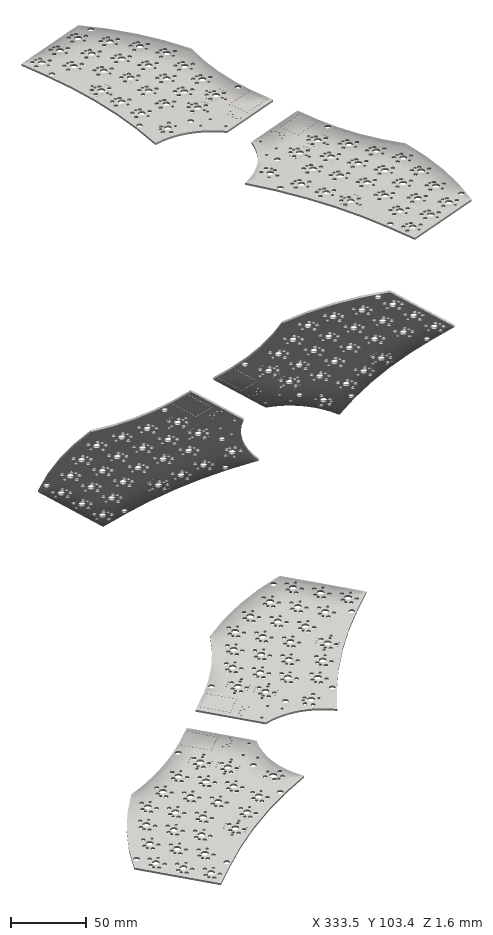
import cadquery as cq
import math


TOTAL_WIDTH = 333.5
THICKNESS = 1.6
INNER_X = 10.5
OUTER_X = TOTAL_WIDTH / 2
PEAK = (90.7, 51.7)
INNER_TIP = (38.0, -51.7)
OUTER_TOP_Y = 26.7
OUTER_BOTTOM_Y = -33.0
INNER_TOP_Y = 37.7
INNER_BOTTOM_Y = -10.7
TOP_STRAIGHT_END_X = 28.0
BOTTOM_STRAIGHT_END_X = 146.0
OUTER_TOP_BULGE = (128.7, 43.5)
INNER_TOP_BULGE = (60.0, 41.7)
THUMB_NOTCH_BULGE = (29.5, -28.0)
BOTTOM_BULGE = (98.0, -36.7)

KEY_PITCH = 19.0
FIRST_COLUMN_X = OUTER_X - KEY_PITCH / 2
COLUMN_TOP_KEY_Y = (14.7, 24.7, 32.7, 37.5, 32.7, 27.7, 18.5)
KEYS_PER_COLUMN = 3
KEYS_IN_INNER_COLUMN = 2
THUMB_ROW_START = (105.7, -24.7)
THUMB_ROW_DROP = 2.5
THUMB_ROW_KEYS = 3
TURNED_KEY = (43.5, -32.0)
TURNED_KEY_ANGLE = 60

GRID = 1.27
CENTRE_HOLE_DIA = 5.0
PIN_HOLE_DIA = 3.0
POST_HOLE_DIA = 2.2
POST_OFFSET = 5.5
PIN_HOLES = ((2 * GRID, 4 * GRID), (-3 * GRID, 2 * GRID), (0, -6.0), (-5.0, -3.7))
POST_HOLES = ((-POST_OFFSET, 0), (POST_OFFSET, 0))

ENCODER_LUG_OFFSET = 8.0
ENCODER_LUG_DIA = 2.2
ENCODER_PIN_DIA = 1.0
ENCODER_PIN_PITCH = 2.5
ENCODER_TOP_Y = 7.5
ENCODER_BOTTOM_Y = -7.5
ENCODER_LUGS = ((-ENCODER_LUG_OFFSET, 0), (ENCODER_LUG_OFFSET, 0))
ENCODER_PINS = (
    (-ENCODER_PIN_PITCH, ENCODER_TOP_Y),
    (0, ENCODER_TOP_Y),
    (ENCODER_PIN_PITCH, ENCODER_TOP_Y),
    (-ENCODER_PIN_PITCH, ENCODER_BOTTOM_Y),
    (ENCODER_PIN_PITCH, ENCODER_BOTTOM_Y),
)

HEADER_PIN_DIA = 0.85
HEADER_PITCH = 2 * GRID
HEADER_CENTRE_X = 21.7
HEADER_BOTTOM_Y = 15.0
HEADER_ROW_PINS = 9
HEADER_GAPS_ACROSS = 6

JACK_PIN_DIA = 1.2
JACK_Y = 7.0
JACK_LINE_SPACING = 2.0
JACK_MIDDLE_X = (13.0, 20.0)
JACK_NEAR_X = (15.0, 18.0, 22.0)
JACK_FAR_X = 23.5

MOUNT_HOLE_DIA = 4.5
MOUNT_HOLES = ((157.0, 28.0), (143.5, -30.0), (59.7, -41.7), (36.7, -16.5), (38.0, 35.0))
PEG_HOLE_DIA = 2.2
PEG_HOLES = ((14.7, -6.7), (28.0, -6.7), (28.0, -16.7))


def on_side(side, points):
    """Points of one half: side is -1 for the left board and +1 for the right board."""
    return [(side * x, y) for x, y in points]


def blank_board(side):
    def at(x, y):
        return (side * x, y)

    return (
        cq.Workplane("XY")
        .moveTo(*at(OUTER_X, OUTER_BOTTOM_Y))
        .lineTo(*at(OUTER_X, OUTER_TOP_Y))
        .threePointArc(at(*OUTER_TOP_BULGE), at(*PEAK))
        .threePointArc(at(*INNER_TOP_BULGE), at(TOP_STRAIGHT_END_X, INNER_TOP_Y))
        .lineTo(*at(INNER_X, INNER_TOP_Y))
        .lineTo(*at(INNER_X, INNER_BOTTOM_Y))
        .threePointArc(at(*THUMB_NOTCH_BULGE), at(*INNER_TIP))
        .threePointArc(at(*BOTTOM_BULGE), at(BOTTOM_STRAIGHT_END_X, OUTER_BOTTOM_Y))
        .close()
        .extrude(THICKNESS)
    )


def column_keys(column, count):
    x = FIRST_COLUMN_X - column * KEY_PITCH
    top = COLUMN_TOP_KEY_Y[column]
    return [(x, top - row * KEY_PITCH) for row in range(count)]


def outer_column_keys():
    keys = []
    for column in range(len(COLUMN_TOP_KEY_Y) - 1):
        keys += column_keys(column, KEYS_PER_COLUMN)
    return keys


def inner_column_keys():
    return column_keys(len(COLUMN_TOP_KEY_Y) - 1, KEYS_IN_INNER_COLUMN)


def thumb_row_keys():
    x, y = THUMB_ROW_START
    return [(x - i * KEY_PITCH, y - i * THUMB_ROW_DROP) for i in range(THUMB_ROW_KEYS)]


def around(centre, offsets, degrees=0):
    """Offsets turned by an angle and placed about a centre."""
    cos = math.cos(math.radians(degrees))
    sin = math.sin(math.radians(degrees))
    return [(centre[0] + x * cos - y * sin, centre[1] + x * sin + y * cos) for x, y in offsets]


def drills(points, diameter):
    """One through-cutting cylinder per point."""
    circles = cq.Workplane("XY").pushPoints(points).circle(diameter / 2)
    return circles.extrude(THICKNESS).vals()


def socket_drills(centre, degrees=0):
    """Holes of one socket, which keeps the same handedness on both boards."""
    cutters = drills([centre], CENTRE_HOLE_DIA)
    cutters += drills(around(centre, PIN_HOLES, degrees), PIN_HOLE_DIA)
    cutters += drills(around(centre, POST_HOLES, degrees), POST_HOLE_DIA)
    return cutters


def encoder_drills(centre):
    cutters = drills(around(centre, ENCODER_LUGS), ENCODER_LUG_DIA)
    cutters += drills(around(centre, ENCODER_PINS), ENCODER_PIN_DIA)
    return cutters


def key_drills(side):
    cutters = []
    for key in on_side(side, outer_column_keys() + inner_column_keys() + thumb_row_keys()):
        cutters += socket_drills(key)
    for key in on_side(side, [TURNED_KEY]):
        cutters += socket_drills(key, -side * TURNED_KEY_ANGLE)
    for key in on_side(side, inner_column_keys() + thumb_row_keys()[:1]):
        cutters += encoder_drills(key)
    return cutters


def header_drills(side):
    half_span = HEADER_GAPS_ACROSS * HEADER_PITCH / 2
    pins = []
    for i in range(HEADER_ROW_PINS):
        y = HEADER_BOTTOM_Y + i * HEADER_PITCH
        pins += [(HEADER_CENTRE_X - half_span, y), (HEADER_CENTRE_X + half_span, y)]
    for i in range(1, HEADER_GAPS_ACROSS):
        pins.append((HEADER_CENTRE_X - half_span + i * HEADER_PITCH, HEADER_BOTTOM_Y))
    return drills(on_side(side, pins), HEADER_PIN_DIA)


def jack_drills(side):
    """The lines above and below the jack's middle swap from one board to the other."""
    near_y = JACK_Y + side * JACK_LINE_SPACING
    far_y = JACK_Y - side * JACK_LINE_SPACING
    pins = [(x, JACK_Y) for x in JACK_MIDDLE_X]
    pins += [(x, near_y) for x in JACK_NEAR_X]
    pins.append((JACK_FAR_X, far_y))
    return drills(on_side(side, pins), JACK_PIN_DIA)


def half_board(side):
    cutters = key_drills(side) + header_drills(side) + jack_drills(side)
    cutters += drills(on_side(side, MOUNT_HOLES), MOUNT_HOLE_DIA)
    cutters += drills(on_side(side, PEG_HOLES), PEG_HOLE_DIA)
    drilled = blank_board(side).val().cut(*cutters)
    return cq.Workplane(drilled).solids()


half_boards = [half_board(side) for side in (-1, 1)]

result = cq.Compound.makeCompound([board.val() for board in half_boards])